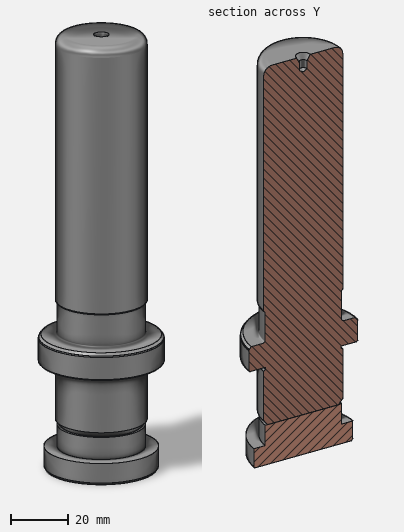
import cadquery as cq
import math

total_height = 159.0

neck_diameter = 31.0
neck_radius = neck_diameter / 2

cap_flange_radius = 20.0
cap_flange_height = 8.0
cap_chamfer_width = 0.5
cap_chamfer_height = 0.8
cap_height = 16.0

shank_radius = 16.0
lead_in_width = 1.6
lead_in_height = 1.9
collar_diameter = 44.0
collar_radius = collar_diameter / 2
collar_bottom = 39.0
collar_height = 10.0
collar_top = collar_bottom + collar_height
collar_top_chamfer_width = 0.8
collar_top_chamfer_height = 1.0
collar_rim_taper_width = 0.2
collar_rim_taper_height = 0.5
collar_bottom_chamfer = 0.5
undercut_depth = 0.8
undercut_height = 0.6
undercut_taper = 0.6
relief_fillet = 1.0
relief_top = 61.0
relief_taper = shank_radius - neck_radius
nose_radius = 3.5

centre_mouth_radius = 2.7
centre_bore_radius = 1.5
centre_bore_length = 3.2
countersink_angle = 60.0
drill_tip_angle = 120.0


def cone_length(radius_change, included_angle):
    """Axial length of a cone with the given included angle."""
    return radius_change / math.tan(math.radians(included_angle / 2))


def revolve_about_z(profile):
    """Turn a closed radius-height profile into a solid about the Z axis."""
    return profile.close().revolve(360, (0, 0, 0), (0, 1, 0))


def make_cap():
    """Flanged cap whose neck meets the lower end of the pillar."""
    return revolve_about_z(
        cq.Workplane("XZ")
        .lineTo(cap_flange_radius - cap_chamfer_width, 0)
        .lineTo(cap_flange_radius, cap_chamfer_height)
        .lineTo(cap_flange_radius, cap_flange_height)
        .lineTo(neck_radius, cap_flange_height)
        .lineTo(neck_radius, cap_height)
        .lineTo(0, cap_height)
    )


def make_centre_drilling():
    """Countersink, pilot bore and conical drill tip, as a cutting tool."""
    bore_top = total_height - cone_length(centre_mouth_radius - centre_bore_radius, countersink_angle)
    bore_bottom = bore_top - centre_bore_length
    tip = bore_bottom - cone_length(centre_bore_radius, drill_tip_angle)
    return revolve_about_z(
        cq.Workplane("XZ")
        .moveTo(0, total_height)
        .lineTo(centre_mouth_radius, total_height)
        .lineTo(centre_bore_radius, bore_top)
        .lineTo(centre_bore_radius, bore_bottom)
        .lineTo(0, tip)
    )


def make_pillar():
    """Turned guide pillar with collar, undercut, relief and rounded nose."""
    undercut_radius = shank_radius - undercut_depth
    undercut_bottom = collar_bottom - undercut_height
    rim_radius = collar_radius - collar_rim_taper_width
    chamfer_start = collar_top - collar_top_chamfer_height
    nose_start = total_height - nose_radius
    body = revolve_about_z(
        cq.Workplane("XZ")
        .moveTo(0, cap_height)
        .lineTo(shank_radius - lead_in_width, cap_height)
        .lineTo(shank_radius, cap_height + lead_in_height)
        .lineTo(shank_radius, undercut_bottom - undercut_taper)
        .lineTo(undercut_radius, undercut_bottom)
        .lineTo(undercut_radius, collar_bottom)
        .lineTo(collar_radius - collar_bottom_chamfer, collar_bottom)
        .lineTo(collar_radius, collar_bottom + collar_bottom_chamfer)
        .lineTo(collar_radius, chamfer_start - collar_rim_taper_height)
        .lineTo(rim_radius, chamfer_start)
        .lineTo(rim_radius - collar_top_chamfer_width, collar_top)
        .lineTo(neck_radius + relief_fillet, collar_top)
        .radiusArc((neck_radius, collar_top + relief_fillet), relief_fillet)
        .lineTo(neck_radius, relief_top)
        .lineTo(shank_radius, relief_top + relief_taper)
        .lineTo(shank_radius, nose_start)
        .radiusArc((shank_radius - nose_radius, total_height), -nose_radius)
        .lineTo(0, total_height)
    )
    return body.cut(make_centre_drilling())


cap = make_cap()
pillar = make_pillar()

result = cq.Compound.makeCompound([cap.val(), pillar.val()])